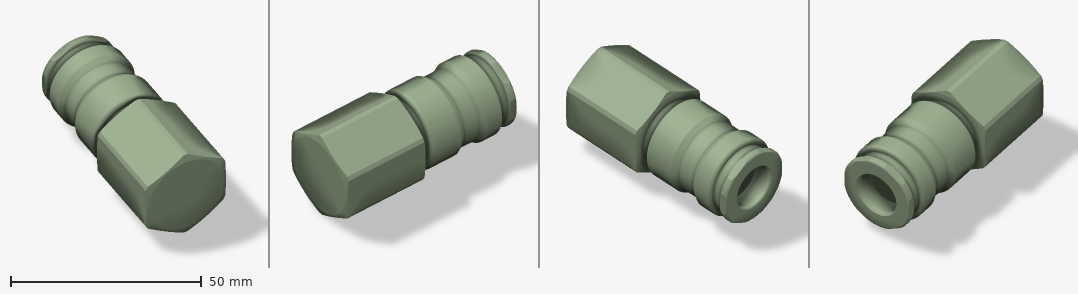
import cadquery as cq
import math

LENGTH = 57.5

FLANGE_LENGTH = 2.5
FLANGE_DIAMETER = 22.0
FLANGE_ACROSS_FLATS = 21.0
FLANGE_FRONT_ROUND = 0.75
FLANGE_REAR_ROUND = 0.85
FRONT_NECK_DIAMETER = 20.0
COLLAR_START = 5.25
COLLAR_END = 28.65
COLLAR_DIAMETER = 23.2
COLLAR_FRONT_ROUND = 0.85
COLLAR_REAR_ROUND = 1.05
GROOVE_DIAMETER = 21.0
GROOVE_START = 10.4
GROOVE_END = 19.25
GROOVE_TAPER_LENGTH = 1.9

BORE_DIAMETER = 12.6
BORE_DEPTH = 5.75
BORE_CHAMFER = 0.3

ROD_DIAMETER = 19.0
HEX_START = 31.4
HEX_ACROSS_FLATS = 24.05
HEX_CORNER_DIAMETER = 27.0
HEX_FRONT_FACE_DIAMETER = HEX_ACROSS_FLATS
HEX_REAR_FACE_DIAMETER = 22.7
HEX_CHAMFER_ANGLE = 15.0


def cylinder(start, end, diameter):
    return cq.Workplane("YZ", origin=(start, 0, 0)).circle(diameter / 2).extrude(end - start)


def hexagon(start, end, across_flats):
    """Hexagonal prism along X with two of its flats facing -Y and +Y."""
    corner_diameter = across_flats / math.cos(math.pi / 6)
    profile = cq.Workplane("YZ", origin=(start, 0, 0)).transformed(rotate=(0, 0, 30))
    return profile.polygon(6, corner_diameter).extrude(end - start)


def revolve_about_x(outline):
    return outline.close().revolve(360, (0, 0, 0), (1, 0, 0))


def make_flange():
    disc = cylinder(0, FLANGE_LENGTH, FLANGE_DIAMETER)
    disc = disc.faces("<X").edges().fillet(FLANGE_FRONT_ROUND)
    disc = disc.faces(">X").edges().fillet(FLANGE_REAR_ROUND)
    return disc.intersect(hexagon(0, FLANGE_LENGTH, FLANGE_ACROSS_FLATS))


def make_rear_hexagon():
    """Hexagonal prism with its corners turned round and both ends chamfered conically."""
    corner_radius = HEX_CORNER_DIAMETER / 2
    front_radius = HEX_FRONT_FACE_DIAMETER / 2
    rear_radius = HEX_REAR_FACE_DIAMETER / 2
    slope = math.tan(math.radians(HEX_CHAMFER_ANGLE))
    front_chamfer = (corner_radius - front_radius) * slope
    rear_chamfer = (corner_radius - rear_radius) * slope
    turned_blank = revolve_about_x(
        cq.Workplane("XY")
        .moveTo(HEX_START, 0)
        .lineTo(HEX_START, front_radius)
        .lineTo(HEX_START + front_chamfer, corner_radius)
        .lineTo(LENGTH - rear_chamfer, corner_radius)
        .lineTo(LENGTH, rear_radius)
        .lineTo(LENGTH, 0)
    )
    return hexagon(HEX_START, LENGTH, HEX_ACROSS_FLATS).intersect(turned_blank)


def make_socket_bore():
    bore_radius = BORE_DIAMETER / 2
    return revolve_about_x(
        cq.Workplane("XY")
        .moveTo(0, 0)
        .lineTo(0, bore_radius + BORE_CHAMFER)
        .lineTo(BORE_CHAMFER, bore_radius)
        .lineTo(BORE_DEPTH, bore_radius)
        .lineTo(BORE_DEPTH, 0)
    )


def make_collar():
    """Solid turned collar with rounded ends and a tapered groove."""
    outer_radius = COLLAR_DIAMETER / 2
    groove_radius = GROOVE_DIAMETER / 2
    collar = revolve_about_x(
        cq.Workplane("XY")
        .moveTo(COLLAR_START, 0)
        .lineTo(COLLAR_START, outer_radius)
        .lineTo(GROOVE_START, outer_radius)
        .lineTo(GROOVE_START + GROOVE_TAPER_LENGTH, groove_radius)
        .lineTo(GROOVE_END - GROOVE_TAPER_LENGTH, groove_radius)
        .lineTo(GROOVE_END, outer_radius)
        .lineTo(COLLAR_END, outer_radius)
        .lineTo(COLLAR_END, 0)
    )
    collar = collar.faces("<X").edges().fillet(COLLAR_FRONT_ROUND)
    return collar.faces(">X").edges().fillet(COLLAR_REAR_ROUND)


def make_socket():
    """Front body, bored at the mouth and counterbored from behind to receive the rod."""
    neck = cylinder(FLANGE_LENGTH, COLLAR_START, FRONT_NECK_DIAMETER)
    outside = make_flange().union(neck).union(make_collar())
    rod_seat = cylinder(BORE_DEPTH, COLLAR_END, ROD_DIAMETER)
    return outside.cut(make_socket_bore()).cut(rod_seat)


def make_stem():
    """Rear body whose rod ends inside the socket as the floor of the bore."""
    return cylinder(BORE_DEPTH, HEX_START, ROD_DIAMETER).union(make_rear_hexagon())


socket = make_socket()
stem = make_stem()

result = cq.Compound.makeCompound([socket.val(), stem.val()])